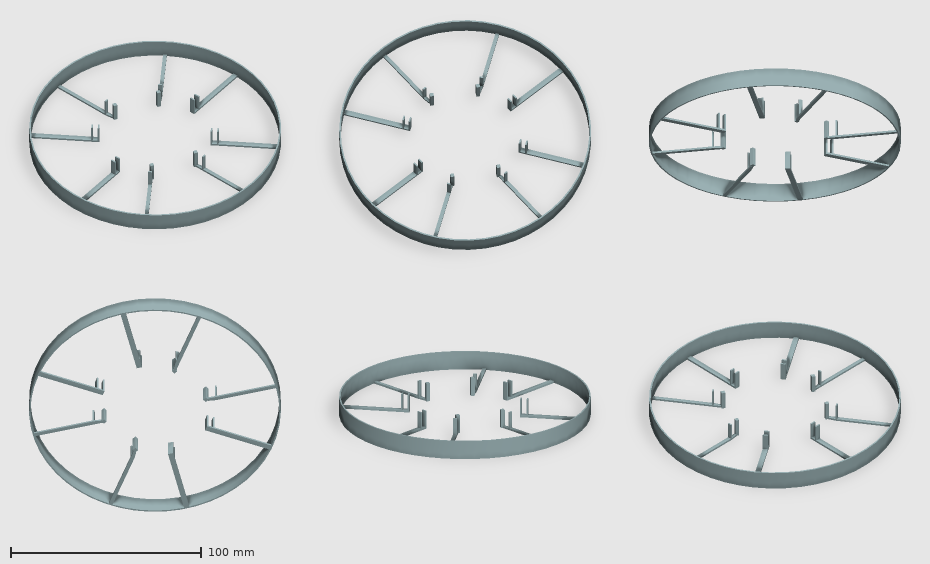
import cadquery as cq

RING_DIAMETER = 132.2
HEIGHT = 10.0
WALL = 0.8
RING_INNER_RADIUS = RING_DIAMETER / 2 - WALL

SPOKE_HEIGHT = 1.0
SPOKE_END_RADIUS = RING_DIAMETER / 2 - WALL / 2

PLATE_THICKNESS = 0.8
CLIP_GAP = 2.6
CLIP_INNER_RADIUS = 29.2
OUTER_PLATE_RADIUS = CLIP_INNER_RADIUS + PLATE_THICKNESS + CLIP_GAP

WIDE_ANGLE = 62.0
WIDE_WIDTH = 2.8

NARROW_ANGLE = 27.6
NARROW_WIDTH = 2.0
LINK_TIP_WIDTH = 1.5
LINK_TIP_RADIUS = 28.7
POST_SIZE = 2.0
POST_X = 24.7
POST_Y = 12.4


def bar(start, end, side, width, height):
    """Box along +X from start to end, with Y starting at side, standing on Z = 0."""
    return cq.Workplane("XY").box(end - start, width, height, centered=False).translate((start, side, 0))


def wide_spoke():
    """Spoke with two upright plates across it."""
    spoke = bar(CLIP_INNER_RADIUS, SPOKE_END_RADIUS, 0, WIDE_WIDTH, SPOKE_HEIGHT)
    for radius in (CLIP_INNER_RADIUS, OUTER_PLATE_RADIUS):
        plate = bar(radius, radius + PLATE_THICKNESS, 0, WIDE_WIDTH, HEIGHT)
        spoke = spoke.union(plate)
    return spoke


def narrow_spoke():
    """Spoke with one upright plate and a link that tapers on one side towards the post."""
    half = NARROW_WIDTH / 2
    plate = bar(
        OUTER_PLATE_RADIUS, OUTER_PLATE_RADIUS + PLATE_THICKNESS, -half, NARROW_WIDTH, HEIGHT
    )
    link = (
        cq.Workplane("XY")
        .polyline([
            (OUTER_PLATE_RADIUS, half),
            (LINK_TIP_RADIUS, LINK_TIP_WIDTH - half),
            (LINK_TIP_RADIUS, -half),
            (OUTER_PLATE_RADIUS, -half),
        ])
        .close()
        .extrude(SPOKE_HEIGHT)
    )
    spoke = bar(OUTER_PLATE_RADIUS, SPOKE_END_RADIUS, -half, NARROW_WIDTH, SPOKE_HEIGHT)
    return spoke.union(plate).union(link)


def turned(body, angle):
    """Body turned about the ring axis."""
    return body.rotate((0, 0, 0), (0, 0, 1), angle)


def post():
    """Square post with its sides along X and Y."""
    return (
        cq.Workplane("XY")
        .center(POST_X, POST_Y)
        .rect(POST_SIZE, POST_SIZE)
        .extrude(HEIGHT)
    )


ring = cq.Workplane("XY").circle(RING_DIAMETER / 2).circle(RING_INNER_RADIUS).extrude(HEIGHT)

quarter = turned(wide_spoke(), WIDE_ANGLE).union(turned(narrow_spoke(), NARROW_ANGLE)).union(post())
half_set = quarter.union(quarter.mirror("YZ"))
all_spokes = half_set.union(half_set.mirror("XZ"))

result = ring.union(all_spokes)